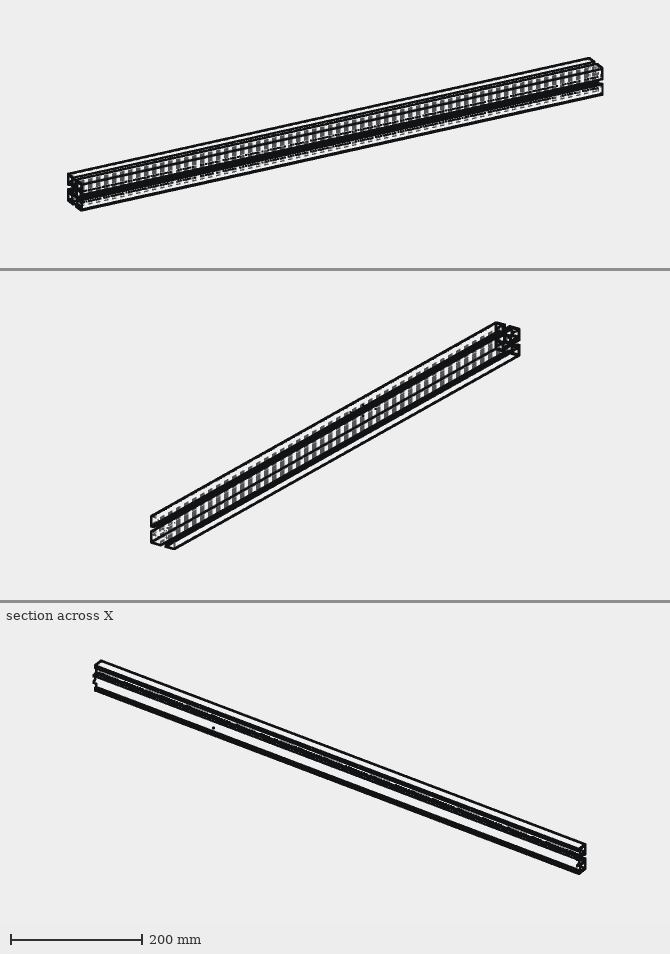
import cadquery as cq

LENGTH = 900.0
SIDE = 45.0
CORNER_RADIUS = 2.5

SLOT_OPENING = 8.7
SLOT_WIDTH = 14.0
LIP_THICKNESS = 4.5
SLOT_FLOOR = 6.75
FLOOR_CHAMFER = 2.0

WALL = 2.0
CORE_HOLE_DIAMETER = 10.0

HALF_SIDE = SIDE / 2
HALF_LENGTH = LENGTH / 2


def bar(width, height, x=0, z=0):
    """Rectangular bar over the full length, centred at (x, z)."""
    return cq.Workplane("XY").box(width, LENGTH, height).translate((x, 0, z))


def t_slot():
    """Cutter for the T-slot in the +Z side."""
    mouth_height = HALF_SIDE - SLOT_FLOOR
    mouth = bar(SLOT_OPENING, mouth_height, z=SLOT_FLOOR + mouth_height / 2)
    chamber_height = mouth_height - LIP_THICKNESS
    chamber = bar(SLOT_WIDTH, chamber_height, z=SLOT_FLOOR + chamber_height / 2)
    chamber = chamber.faces("<Z").edges("|Y").chamfer(FLOOR_CHAMFER)
    return mouth.union(chamber)


def corner_hollow():
    """Cutter for the square hollow in the +X, +Z corner."""
    inner = SLOT_WIDTH / 2 + WALL
    outer = HALF_SIDE - WALL
    size = outer - inner
    centre = (inner + outer) / 2
    return bar(size, size, centre, centre)


def core_hole():
    """Cutter for the round hole along the centre axis."""
    return cq.Workplane("XZ").circle(CORE_HOLE_DIAMETER / 2).extrude(HALF_LENGTH, both=True)


profile = bar(SIDE, SIDE).edges("|Y").fillet(CORNER_RADIUS)
slot = t_slot()
hollow = corner_hollow()
for quarter_turn in range(4):
    angle = 90 * quarter_turn
    profile = profile.cut(slot.rotate((0, 0, 0), (0, 1, 0), angle))
    profile = profile.cut(hollow.rotate((0, 0, 0), (0, 1, 0), angle))

result = profile.cut(core_hole())